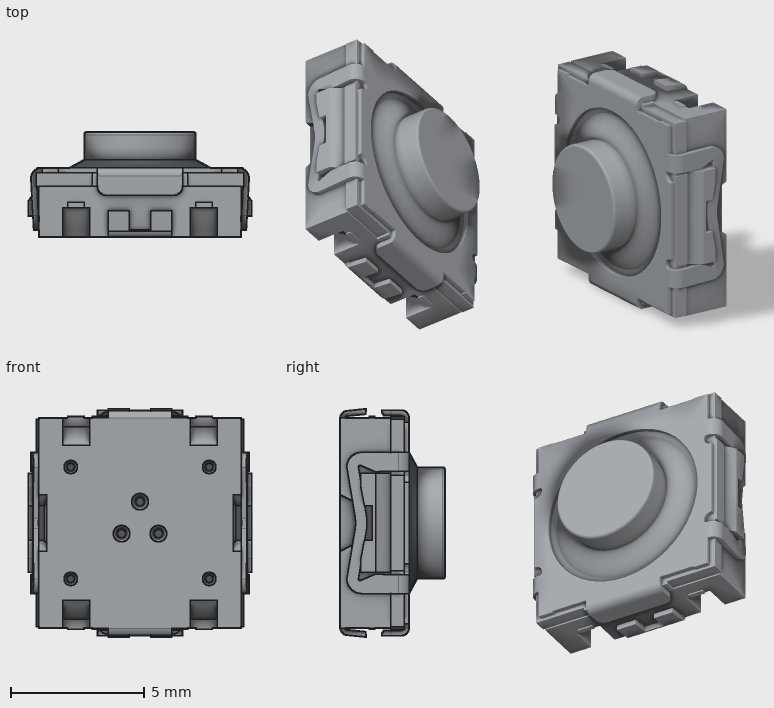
import cadquery as cq
import math

SIDES = (-1, 1)

base_half_x = 3.8
base_half_z = 3.95
base_top_y = 1.9

frame_half_x = 3.89
frame_half_z = 3.89
frame_top_y = 2.41
lug_half_length = 1.8
lug_face_x = 3.98
lug_face_z = 4.0

plate_top_y = 2.6
plate_half_x = 3.67
plate_half_z = 3.73
plate_hole_diameter = 6.5
edge_pad_inner_x = 3.07
edge_pad_face_z = 3.78
side_pad_half_length = 1.53
side_pad_face_x = 3.86
slot_floor_x = 3.52
slot_pad_radius = 0.29
slot_arm_radius = 0.12
sheet = 0.21

arm_outer_z = 2.65
arm_inner_z = 1.95
arm_outer_x = 4.1
arm_bend_radius = 0.41
arm_tip_outer_x = 3.98
arm_low_y = 0.26
arm_root_x = 3.4
arm_corner_radius = 0.55
bow_outer_y = 0.61
bow_inner_y = 1.04
notch_top_y = 1.31
notch_outer_z = 2.2
notch_low_y = 0.68
notch_inner_z = 1.93
notch_radius = 0.06
bow_outer_radius = 1.2
bow_inner_radius = 1.6

wedge_half_length = 1.86
wedge_face_x = 4.2
wedge_shoulder_y = 1.34
wedge_low_y = 0.79
wedge_flat_inner_z = 1.33

pocket_floor_x = 3.5
pocket_upper_x = 3.6
pocket_step_low_y = 0.66
pocket_step_high_y = 0.74
pocket_mouth_half = 1.065
pocket_throat_half = 0.65
pocket_throat_y = 0.83
pocket_roof_y = 1.21

tab_half_width = 1.6
tab_outer_z = 4.24
tab_tip_y = 1.57
tab_bend_radius = 0.3
tab_corner_radius = 0.33
tab_lead_in = 0.08

strap_half_width = 1.2
strap_slot_half_width = 0.4
strap_slot_low_y = 0.27
strap_tip_y = 0.99
strap_tip_z = 4.29
strap_bend_y = 0.21
strap_bend_z = 4.21

recess_inner_x = 1.88
recess_outer_x = 2.91
recess_roof_y = 1.11
recess_start_z = 2.91
recess_step_z = 3.61

ledge_inner_x = 2.1
ledge_outer_x = 2.72
ledge_height = 0.2

button_diameter = 4.2
button_top_y = 3.95
button_edge_radius = 0.1
skirt_top_y = 2.9
skirt_base_radius = 3.0

corner_hole_x = 2.6
corner_hole_z = 2.1
corner_hole_diameters = (0.5, 0.28)
centre_hole_circle_radius = 0.8
centre_hole_diameters = (0.62, 0.32)
hole_depth = 0.6


def box(x_range, y_range, z_range):
    """Axis-aligned box between the given limits."""
    size = [high - low for low, high in (x_range, y_range, z_range)]
    corner = (x_range[0], y_range[0], z_range[0])
    return cq.Workplane("XY").box(*size, centered=False).translate(corner)


def prism_along_x(outline, x_range):
    """Closed (y, z) outline swept between two X positions."""
    length = x_range[1] - x_range[0]
    return outline.close().extrude(length).translate((x_range[0], 0, 0))


def both_sides(shape, plane):
    """The shape together with its mirror image."""
    return shape.union(shape.mirror(plane))


def slab(half_x, half_z, y_range):
    return box((-half_x, half_x), y_range, (-half_z, half_z))


def make_housing():
    frame_range = (base_top_y, frame_top_y)
    housing = slab(base_half_x, base_half_z, (0, base_top_y))
    housing = housing.union(slab(frame_half_x, frame_half_z, frame_range))
    housing = housing.union(slab(lug_face_x, lug_half_length, frame_range))
    return housing.union(slab(lug_half_length, lug_face_z, frame_range))


def make_relief_slot():
    """Slot between side pad and arm at the +X, +Z corner, with rounded floor corners."""
    pad_z = side_pad_half_length
    return (
        cq.Workplane("XZ", origin=(0, frame_top_y, 0))
        .moveTo(side_pad_face_x, pad_z)
        .lineTo(slot_floor_x + slot_pad_radius, pad_z)
        .radiusArc((slot_floor_x, pad_z + slot_pad_radius), slot_pad_radius)
        .lineTo(slot_floor_x, arm_inner_z - slot_arm_radius)
        .radiusArc((slot_floor_x + slot_arm_radius, arm_inner_z), slot_arm_radius)
        .lineTo(side_pad_face_x, arm_inner_z)
        .close()
        .extrude(frame_top_y - plate_top_y)
    )


def make_plate():
    plate_range = (frame_top_y, plate_top_y)
    plate = slab(plate_half_x, plate_half_z, plate_range)
    plate = plate.union(slab(side_pad_face_x, arm_inner_z, plate_range))
    for side_x in SIDES:
        pad_limits = sorted((side_x * edge_pad_inner_x, side_x * plate_half_x))
        plate = plate.union(box(pad_limits, plate_range, (-edge_pad_face_z, edge_pad_face_z)))
    slots = both_sides(both_sides(make_relief_slot(), "XY"), "YZ")
    plate = plate.cut(slots)
    hole = (
        cq.Workplane("XZ", origin=(0, frame_top_y, 0))
        .circle(plate_hole_diameter / 2)
        .extrude(frame_top_y - plate_top_y)
    )
    return plate.cut(hole)


def make_button():
    """Round button standing on a conical skirt, revolved about the Y axis."""
    radius = button_diameter / 2
    return (
        cq.Workplane("XY")
        .moveTo(0, base_top_y)
        .lineTo(skirt_base_radius, base_top_y)
        .lineTo(skirt_base_radius, frame_top_y)
        .lineTo(radius, skirt_top_y)
        .lineTo(radius, button_top_y - button_edge_radius)
        .radiusArc((radius - button_edge_radius, button_top_y), -button_edge_radius)
        .lineTo(0, button_top_y)
        .close()
        .revolve(360, (0, 0, 0), (0, 1, 0))
    )


def nearest_edge(y, z):
    """Selector for the arm edge that runs along X closest to (y, z)."""
    middle_x = -(arm_outer_x + sheet + arm_root_x) / 2
    return cq.selectors.NearestToPointSelector((middle_x, y, z))


def make_arm():
    """V-bowed spring on the -X side, hung from the cover plate by two legs."""
    bend_low_y = plate_top_y - arm_bend_radius
    bend_inner_x = arm_outer_x - arm_bend_radius
    inner_radius = arm_bend_radius - sheet
    side_profile = (
        cq.Workplane("XY", origin=(0, 0, -arm_outer_z))
        .moveTo(-arm_root_x, plate_top_y)
        .lineTo(-bend_inner_x, plate_top_y)
        .radiusArc((-arm_outer_x, bend_low_y), -arm_bend_radius)
        .lineTo(-arm_tip_outer_x, 0)
        .lineTo(-arm_tip_outer_x + sheet, 0)
        .lineTo(-arm_outer_x + sheet, bend_low_y)
        .radiusArc((-bend_inner_x, plate_top_y - sheet), inner_radius)
        .lineTo(-arm_root_x, plate_top_y - sheet)
        .close()
        .extrude(2 * arm_outer_z)
    )
    face_limits = (-arm_outer_x - sheet, -arm_root_x)
    face = prism_along_x(
        cq.Workplane("YZ")
        .moveTo(plate_top_y, arm_outer_z)
        .lineTo(arm_low_y + arm_corner_radius, arm_outer_z)
        .radiusArc((arm_low_y, arm_outer_z - arm_corner_radius), -arm_corner_radius)
        .lineTo(bow_outer_y, 0)
        .lineTo(arm_low_y, arm_corner_radius - arm_outer_z)
        .radiusArc((arm_low_y + arm_corner_radius, -arm_outer_z), -arm_corner_radius)
        .lineTo(plate_top_y, -arm_outer_z)
        .lineTo(plate_top_y, -arm_inner_z)
        .lineTo(notch_top_y, -notch_inner_z)
        .lineTo(notch_low_y, -notch_outer_z)
        .lineTo(bow_inner_y, 0)
        .lineTo(notch_low_y, notch_outer_z)
        .lineTo(notch_top_y, notch_inner_z)
        .lineTo(plate_top_y, arm_inner_z),
        face_limits,
    )
    face = face.edges(nearest_edge(bow_outer_y, 0)).fillet(bow_outer_radius)
    face = face.edges(nearest_edge(bow_inner_y, 0)).fillet(bow_inner_radius)
    for side_z in SIDES:
        corner = nearest_edge(notch_low_y, side_z * notch_outer_z)
        face = face.edges(corner).fillet(notch_radius)
    return side_profile.intersect(face)


def make_wedge():
    """Latch wedge on the -X side, its underside relieved to follow the bow."""
    side_profile = (
        cq.Workplane("XY", origin=(0, 0, -wedge_half_length))
        .moveTo(-pocket_floor_x, base_top_y)
        .lineTo(-base_half_x, base_top_y)
        .lineTo(-wedge_face_x, wedge_shoulder_y)
        .lineTo(-wedge_face_x, wedge_low_y)
        .lineTo(-pocket_floor_x, wedge_low_y)
        .close()
        .extrude(2 * wedge_half_length)
    )
    relief = prism_along_x(
        cq.Workplane("YZ")
        .moveTo(wedge_low_y, -wedge_flat_inner_z)
        .lineTo(bow_inner_y, 0)
        .lineTo(wedge_low_y, wedge_flat_inner_z),
        (-wedge_face_x, -base_half_x),
    )
    return side_profile.cut(relief)


def make_release_pocket():
    """Pocket in the -X side, narrowing upwards, with a sloped step in its back wall."""
    outline = prism_along_x(
        cq.Workplane("YZ")
        .moveTo(0, -pocket_mouth_half)
        .lineTo(pocket_throat_y, -pocket_throat_half)
        .lineTo(pocket_roof_y, -pocket_throat_half)
        .lineTo(pocket_roof_y, pocket_throat_half)
        .lineTo(pocket_throat_y, pocket_throat_half)
        .lineTo(0, pocket_mouth_half),
        (-wedge_face_x, -pocket_floor_x),
    )
    back_wall = (
        cq.Workplane("XY", origin=(0, 0, -pocket_mouth_half))
        .moveTo(-pocket_floor_x, pocket_step_low_y)
        .lineTo(-pocket_floor_x, pocket_roof_y)
        .lineTo(-pocket_upper_x, pocket_roof_y)
        .lineTo(-pocket_upper_x, pocket_step_high_y)
        .close()
        .extrude(2 * pocket_mouth_half)
    )
    return outline.cut(back_wall)


def make_tab():
    """Cover tab on the +Z side, bent down over the frame lug."""
    inner_z = tab_outer_z - sheet
    inner_radius = tab_bend_radius - sheet
    bend_z = tab_outer_z - tab_bend_radius
    root_z = plate_half_z - sheet
    tab = prism_along_x(
        cq.Workplane("YZ")
        .moveTo(plate_top_y, root_z)
        .lineTo(plate_top_y, bend_z)
        .radiusArc((plate_top_y - tab_bend_radius, tab_outer_z), -tab_bend_radius)
        .lineTo(tab_tip_y, tab_outer_z)
        .lineTo(tab_tip_y, tab_outer_z - tab_lead_in)
        .lineTo(tab_tip_y + tab_lead_in, inner_z)
        .lineTo(plate_top_y - tab_bend_radius, inner_z)
        .radiusArc((plate_top_y - sheet, bend_z), inner_radius)
        .lineTo(plate_top_y - sheet, root_z),
        (-tab_half_width, tab_half_width),
    )
    rounded_face = (
        box((-tab_half_width, tab_half_width), (tab_tip_y, plate_top_y), (root_z, tab_outer_z))
        .edges("|Z and <Y")
        .fillet(tab_corner_radius)
    )
    return tab.intersect(rounded_face)


def make_strap():
    """Forked strap on the +Z side, springing outwards from the base edge."""
    slope = (strap_tip_z - strap_bend_z) / (strap_tip_y - strap_bend_y)
    angle = math.atan(slope)
    tip_inner_y = strap_tip_y - sheet * math.sin(angle)
    tip_inner_z = strap_tip_z - sheet * math.cos(angle)
    root_inner_z = tip_inner_z - slope * (tip_inner_y - strap_bend_y)
    root_z = base_half_z - sheet
    strap = prism_along_x(
        cq.Workplane("YZ")
        .moveTo(0, root_z)
        .lineTo(0, base_half_z)
        .radiusArc((strap_bend_y, strap_bend_z), strap_bend_z - base_half_z + sheet / 2)
        .lineTo(strap_tip_y, strap_tip_z)
        .lineTo(tip_inner_y, tip_inner_z)
        .lineTo(strap_bend_y, root_inner_z)
        .lineTo(strap_bend_y, root_z),
        (-strap_half_width, strap_half_width),
    )
    slot = box(
        (-strap_slot_half_width, strap_slot_half_width),
        (strap_slot_low_y, strap_tip_y),
        (base_half_z, strap_tip_z),
    )
    return strap.cut(slot)


def make_ledges():
    """Small ledges above the two recesses on the +Z side."""
    ledge = box(
        (ledge_inner_x, ledge_outer_x),
        (recess_roof_y, recess_roof_y + ledge_height),
        (recess_step_z, lug_face_z),
    )
    return both_sides(ledge, "YZ")


def make_recesses():
    """Ramped recesses at the +Z corners of the base face."""
    recess = prism_along_x(
        cq.Workplane("YZ")
        .moveTo(0, recess_start_z)
        .lineTo(recess_roof_y, recess_step_z)
        .lineTo(recess_roof_y, base_half_z)
        .lineTo(0, base_half_z),
        (recess_inner_x, recess_outer_x),
    )
    return both_sides(recess, "YZ")


def tapered_hole(x, z, diameters):
    mouth, floor = diameters
    cone = cq.Solid.makeCone(mouth / 2, floor / 2, hole_depth, cq.Vector(x, 0, z), cq.Vector(0, 1, 0))
    return cq.Workplane(cone)


def make_holes():
    holes = cq.Workplane()
    for side_x in SIDES:
        for side_z in SIDES:
            hole = tapered_hole(side_x * corner_hole_x, side_z * corner_hole_z, corner_hole_diameters)
            holes = holes.add(hole)
    for degrees in (90, 210, 330):
        angle = math.radians(degrees)
        x = centre_hole_circle_radius * math.cos(angle)
        z = centre_hole_circle_radius * math.sin(angle)
        holes = holes.add(tapered_hole(x, z, centre_hole_diameters))
    return holes.combine()


body = make_housing()
body = body.union(both_sides(make_wedge(), "YZ"))
body = body.cut(both_sides(make_release_pocket(), "YZ"))
body = body.cut(both_sides(make_recesses(), "XY"))
body = body.cut(make_holes())
body = body.union(both_sides(make_ledges(), "XY"))
body = body.union(both_sides(make_strap(), "XY"))
body = body.union(make_plate())
body = body.union(both_sides(make_tab(), "XY"))
body = body.union(both_sides(make_arm(), "YZ"))
result = body.union(make_button())